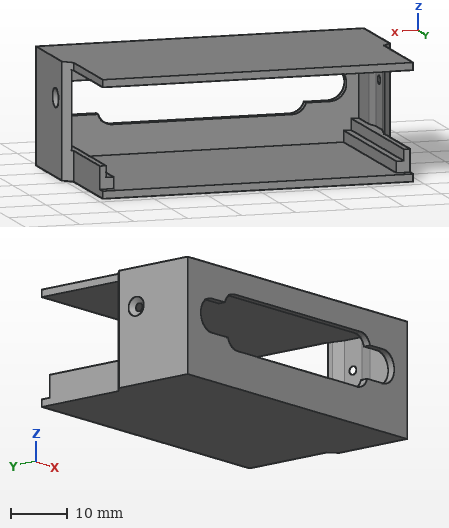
import cadquery as cq
import math

length = 60.7
depth = 34.95
height = 21.45
wall = 1.4

shoulder_start = 15.7
shoulder = 1.65
rear_half_width = length / 2 - shoulder

rail_top = 5.6
rail_setback = 1.8
step_width = 1.4
lower_step_top = (rail_top + wall) / 2

slot_z = 11.95
slot_length = 53.4
slot_height = 6.25
connector_height = 10.2
connector_top_half_width = 20.7
connector_side_angle = 10.0
connector_corner_radius = 2.8

screw_y = 11.85
screw_z = 14.25
screw_diameter = 1.5
countersink_diameter = 3.5
countersink_angle = 100

recess_depth = 0.55
recess_half_length = 4.3
recess_ramp = 2.3


def box(half_width, y_start, y_end, z_start, z_end):
    """Box centred on X between the given Y and Z limits."""
    return cq.Workplane("XY").box(
        2 * half_width, y_end - y_start, z_end - z_start, centered=(True, False, False)
    ).translate((0, y_start, z_start))


def outer_body():
    half = length / 2
    shoulder_end = shoulder_start + shoulder
    outline = [
        (-half, 0),
        (half, 0),
        (half, shoulder_start),
        (rear_half_width, shoulder_end),
        (rear_half_width, depth),
        (-rear_half_width, depth),
        (-rear_half_width, shoulder_end),
        (-half, shoulder_start),
    ]
    return cq.Workplane("XY").polyline(outline).close().extrude(height)


def cavity():
    """Interior open to the rear, leaving the stepped rails on the floor."""
    inner_half = length / 2 - wall
    ceiling = height - wall
    upper = box(inner_half, wall, depth, rail_top, ceiling)
    middle = box(inner_half - step_width, wall, depth, lower_step_top, ceiling)
    lower = box(inner_half - 2 * step_width, wall, depth, wall, ceiling)
    rail_end = box(length / 2, depth - rail_setback, depth, wall, ceiling)
    return upper.union(middle).union(lower).union(rail_end)


def wall_recesses():
    """Both side recesses, cut as one wide block reaching from rail top to ceiling."""
    inner_half = length / 2 - wall
    recess_half = inner_half + recess_depth
    front = screw_y - recess_half_length
    rear = screw_y + recess_half_length
    outline = [
        (-inner_half, front),
        (inner_half, front),
        (recess_half, front + recess_ramp),
        (recess_half, rear - recess_ramp),
        (inner_half, rear),
        (-inner_half, rear),
        (-recess_half, rear - recess_ramp),
        (-recess_half, front + recess_ramp),
    ]
    recess_height = height - wall - rail_top
    return (
        cq.Workplane("XY")
        .workplane(offset=rail_top)
        .polyline(outline)
        .close()
        .extrude(recess_height)
    )


def front_opening():
    slot = (
        cq.Workplane("XZ")
        .center(0, slot_z)
        .slot2D(slot_length, slot_height)
        .extrude(-wall)
    )
    taper = connector_height * math.tan(math.radians(connector_side_angle))
    bottom_half_width = connector_top_half_width - taper
    top = slot_z + connector_height / 2
    bottom = slot_z - connector_height / 2
    connector = (
        cq.Workplane("XZ")
        .polyline([
            (-connector_top_half_width, top),
            (connector_top_half_width, top),
            (bottom_half_width, bottom),
            (-bottom_half_width, bottom),
        ])
        .close()
        .extrude(-wall)
        .edges("|Y")
        .fillet(connector_corner_radius)
    )
    return slot.union(connector)


def drill_screw_hole(body, side):
    """Countersunk hole in the wall on the given side (-1 or 1 along X)."""
    face = cq.Plane(
        origin=(side * length / 2, screw_y, screw_z), xDir=(0, 1, 0), normal=(side, 0, 0)
    )
    return body.copyWorkplane(cq.Workplane(face)).cskHole(
        screw_diameter, countersink_diameter, countersink_angle, depth=2 * wall
    )


result = outer_body().cut(cavity()).cut(wall_recesses()).cut(front_opening())
for side in (-1, 1):
    result = drill_screw_hole(result, side)